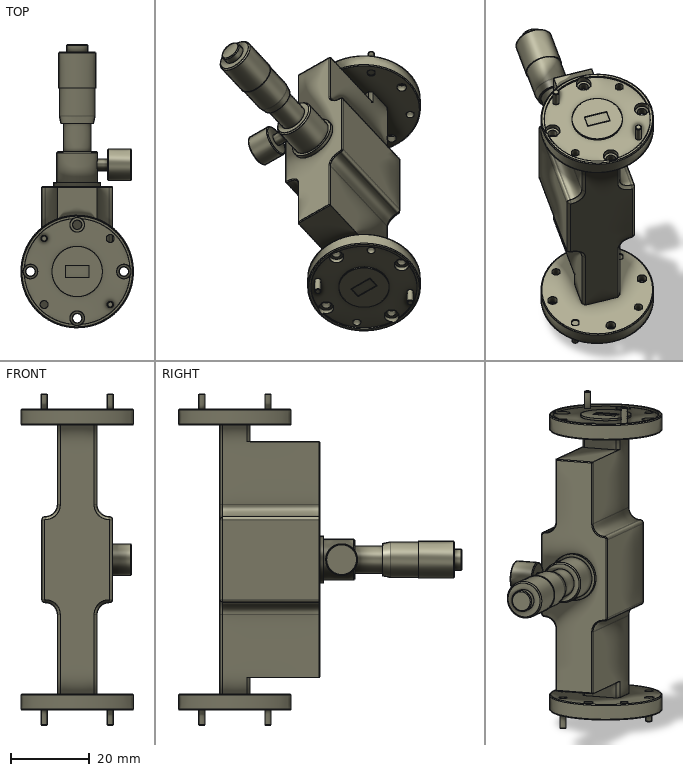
import cadquery as cq
import math

FLANGE_RADIUS = 14.3
FLANGE_BACK_Z = 34.1
FLANGE_THICKNESS = 4.0
FLANGE_CHAMFER = 0.25
RIM_WIDTH = 0.8
FACE_DEPTH = 0.5
BOSS_RADIUS = 6.4
WAVEGUIDE_WIDTH = 5.9
WAVEGUIDE_HEIGHT = 2.9
WAVEGUIDE_DEPTH = 0.25

BOLT_CIRCLE_RADIUS = 11.8
SCREW_HOLE_RADIUS = 1.2
COUNTERBORE_RADIUS = 1.85
COUNTERBORE_DEPTH = 1.35
DOWEL_RADIUS = 0.8
DOWEL_HOLE_RADIUS = 1.0
DOWEL_TIP_CHAMFER = 0.2
DOWEL_RECESS = 0.4
DOWEL_TIP_Z = 42.0

NECK_HALF_WIDTH = 5.0
NECK_HALF_DEPTH = 3.9
BLOCK_HALF_WIDTH = 9.0
BLOCK_HALF_HEIGHT = 10.9
SHOULDER_RADIUS = 3.0
CORNER_RADIUS = 0.8
BACK_Y = 21.6
BACK_HALF_HEIGHT = 29.9
EDGE_CHAMFER = 0.75
BACK_CHAMFER = 0.25

SEAT_RADIUS = 6.0
SEAT_END_Y = 22.5
COLLAR_RADIUS = 5.2
COLLAR_END_Y = 30.4
COLLAR_CHAMFER = 0.3
BARREL_RADIUS = 3.5
CONE_START_Y = 37.4
CONE_START_RADIUS = 4.1
CONE_END_Y = 39.4
THIMBLE_RADIUS = 4.5
GRIP_START_Y = 46.5
GRIP_RADIUS = 4.7
GRIP_END_Y = 55.7
GRIP_CHAMFER = 0.3
TIP_RADIUS = 2.7
TIP_CHAMFER = 0.25
TIP_END_Y = 57.5

LOCK_Y = 27.0
LOCK_STEM_RADIUS = 1.5
LOCK_STEM_START_X = BARREL_RADIUS
LOCK_HEAD_START_X = 7.7
LOCK_HEAD_END_X = 13.8
LOCK_HEAD_RADIUS = 4.0
LOCK_HEAD_CHAMFER = 0.25


def cylinder(radius, start_z, end_z, center=(0, 0)):
    """Upright cylinder between two heights."""
    return (
        cq.Workplane("XY", origin=(*center, start_z))
        .circle(radius)
        .extrude(end_z - start_z)
    )


def bolt_circle_point(angle):
    """Point on the bolt circle at an angle in degrees from +X."""
    turn = math.radians(angle)
    return (BOLT_CIRCLE_RADIUS * math.cos(turn), BOLT_CIRCLE_RADIUS * math.sin(turn))


def make_flange():
    """Upper flange, with its two dowels on the diagonal from (-X, +Y) to (+X, -Y)."""
    rim_z = FLANGE_BACK_Z + FLANGE_THICKNESS
    face_z = rim_z - FACE_DEPTH
    flange = cylinder(FLANGE_RADIUS, FLANGE_BACK_Z, rim_z).edges().chamfer(FLANGE_CHAMFER)

    sunk_ring = cylinder(FLANGE_RADIUS - RIM_WIDTH, face_z, rim_z).cut(cylinder(BOSS_RADIUS, face_z, rim_z))
    flange = flange.cut(sunk_ring)

    opening = cq.Workplane("XY", origin=(0, 0, rim_z)).rect(WAVEGUIDE_WIDTH, WAVEGUIDE_HEIGHT)
    flange = flange.cut(opening.extrude(-WAVEGUIDE_DEPTH))

    for angle in (0, 90, 180, 270):
        center = bolt_circle_point(angle)
        flange = flange.cut(cylinder(SCREW_HOLE_RADIUS, FLANGE_BACK_Z, rim_z, center))
        flange = flange.cut(cylinder(COUNTERBORE_RADIUS, face_z - COUNTERBORE_DEPTH, rim_z, center))

    for angle in (45, 225):
        center = bolt_circle_point(angle)
        flange = flange.cut(cylinder(DOWEL_HOLE_RADIUS, FLANGE_BACK_Z, rim_z, center))

    for angle in (135, 315):
        center = bolt_circle_point(angle)
        recess_z = FLANGE_BACK_Z + DOWEL_RECESS
        flange = flange.cut(cylinder(DOWEL_HOLE_RADIUS, FLANGE_BACK_Z, recess_z, center))
        dowel = cylinder(DOWEL_RADIUS, recess_z, DOWEL_TIP_Z, center).faces(">Z").chamfer(DOWEL_TIP_CHAMFER)
        flange = flange.union(dowel)
    return flange


def box_between(low, high):
    """Box spanning two opposite corner points."""
    size = [top - bottom for bottom, top in zip(low, high)]
    return cq.Workplane("XY").box(*size, centered=False).translate(low)


def make_back_corner(side):
    """Material cut from behind the neck at the upper (side 1) or lower (side -1) end."""
    start_z = side * BACK_HALF_HEIGHT
    length = side * (FLANGE_BACK_Z - BACK_HALF_HEIGHT)
    plane = cq.Workplane("XY", origin=(0, 0, start_z))
    bevel_x = NECK_HALF_WIDTH - EDGE_CHAMFER
    bevel_y = NECK_HALF_DEPTH - EDGE_CHAMFER
    outline = [
        (NECK_HALF_WIDTH, bevel_y),
        (bevel_x, NECK_HALF_DEPTH),
        (-bevel_x, NECK_HALF_DEPTH),
        (-NECK_HALF_WIDTH, bevel_y),
        (-NECK_HALF_WIDTH, BACK_Y),
        (NECK_HALF_WIDTH, BACK_Y),
    ]
    return plane.polyline(outline).close().extrude(length)


def make_housing():
    """Neck and block in one piece, with chamfered front edges and a deep back."""
    front_y = -NECK_HALF_DEPTH
    neck = box_between(
        (-NECK_HALF_WIDTH, front_y, -FLANGE_BACK_Z),
        (NECK_HALF_WIDTH, BACK_Y, FLANGE_BACK_Z),
    )
    block = box_between(
        (-BLOCK_HALF_WIDTH, front_y, -BLOCK_HALF_HEIGHT),
        (BLOCK_HALF_WIDTH, BACK_Y, BLOCK_HALF_HEIGHT),
    )
    block = block.edges("|Y").fillet(CORNER_RADIUS)
    housing = neck.union(block)

    shoulder_zone = cq.selectors.BoxSelector(
        (-NECK_HALF_WIDTH - CORNER_RADIUS, front_y, -BLOCK_HALF_HEIGHT - CORNER_RADIUS),
        (NECK_HALF_WIDTH + CORNER_RADIUS, BACK_Y, BLOCK_HALF_HEIGHT + CORNER_RADIUS),
    )
    housing = housing.edges("|Y").edges(shoulder_zone).fillet(SHOULDER_RADIUS)

    housing = housing.faces("<Y").edges("not(<Z or >Z)").chamfer(EDGE_CHAMFER)

    for side in (-1, 1):
        housing = housing.cut(make_back_corner(side))
    return housing.faces(">Y").edges().chamfer(BACK_CHAMFER)


def revolve_profile(points):
    """Solid turned about the Y axis from (radius, y) points."""
    profile = cq.Workplane("XY").polyline(points).close()
    return profile.revolve(360, (0, 0, 0), (0, 1, 0))


def make_lock_screw():
    """Knob on a thin stem, turned about an axis along X."""
    stem = cq.Workplane("YZ", origin=(LOCK_STEM_START_X, LOCK_Y, 0)).circle(LOCK_STEM_RADIUS)
    stem = stem.extrude(LOCK_HEAD_START_X - LOCK_STEM_START_X)
    head = cq.Workplane("YZ", origin=(LOCK_HEAD_START_X, LOCK_Y, 0)).circle(LOCK_HEAD_RADIUS)
    head = head.extrude(LOCK_HEAD_END_X - LOCK_HEAD_START_X).edges().chamfer(LOCK_HEAD_CHAMFER)
    return head.union(stem)


def make_micrometer(lock_screw):
    """Seat, collar, barrel, thimble and ratchet tip, with a hole for the lock screw."""
    micrometer = revolve_profile([
        (0, BACK_Y),
        (SEAT_RADIUS, BACK_Y),
        (SEAT_RADIUS, SEAT_END_Y),
        (COLLAR_RADIUS, SEAT_END_Y),
        (COLLAR_RADIUS, COLLAR_END_Y - COLLAR_CHAMFER),
        (COLLAR_RADIUS - COLLAR_CHAMFER, COLLAR_END_Y),
        (BARREL_RADIUS, COLLAR_END_Y),
        (BARREL_RADIUS, CONE_START_Y),
        (CONE_START_RADIUS, CONE_START_Y),
        (THIMBLE_RADIUS, CONE_END_Y),
        (THIMBLE_RADIUS, GRIP_START_Y),
        (GRIP_RADIUS, GRIP_START_Y),
        (GRIP_RADIUS, GRIP_END_Y - GRIP_CHAMFER),
        (GRIP_RADIUS - GRIP_CHAMFER, GRIP_END_Y),
        (TIP_RADIUS, GRIP_END_Y),
        (TIP_RADIUS, TIP_END_Y - TIP_CHAMFER),
        (TIP_RADIUS - TIP_CHAMFER, TIP_END_Y),
        (0, TIP_END_Y),
    ])
    return micrometer.cut(lock_screw)


upper_flange = make_flange()
lower_flange = upper_flange.rotate((0, 0, 0), (1, 0, 0), 180)
housing = make_housing()
lock_screw = make_lock_screw()
micrometer = make_micrometer(lock_screw)

result = cq.Compound.makeCompound([
    housing.val(),
    upper_flange.val(),
    lower_flange.val(),
    micrometer.val(),
    lock_screw.val(),
])